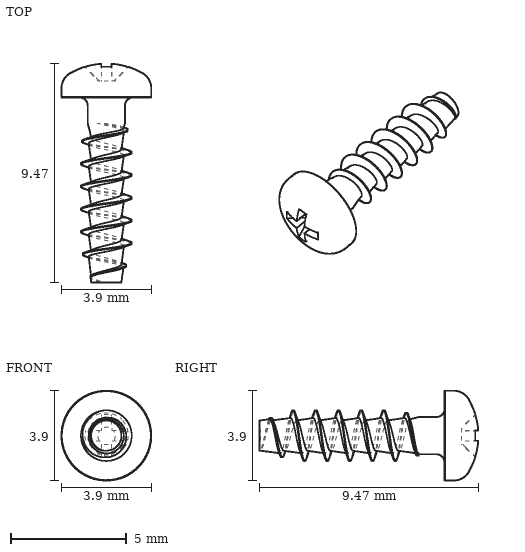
import cadquery as cq
import math


head_radius = 1.95
head_height = 1.47
band_height = 0.4
shoulder_radius = 1.5
shoulder_height = 1.1
band_chamfer = 0.03
dome_rise = 0.02

recess_radius = 1.06
recess_floor_radius = 0.38
recess_depth = 0.76
wing_inner_half_width = 0.23
wing_outer_half_width = 0.21

screw_length = 8.0
shank_radius = 0.81
neck_fillet = 0.33
shank_length = 1.1

crest_radius = 1.1
crest_half_width = 0.02
flank_angle = 17
root_radius_head_side = 0.77
root_radius_tip_side = 0.66
thread_turns = 9
thread_rise = 8.83
thread_pitch = thread_rise / thread_turns
thread_bottom = -8.26
points_per_turn = 24

run_in_radius = 0.86
run_in_length = 0.95
fade_length = 1.44
fade_radius = 0.625
runout_length = 0.61
least_ridge = 0.01
tip_radius = 0.65
tip_taper_length = 0.85
dish_radius = 0.6
dish_depth = 0.05


def head():
    """Domed head with a straight band above its bearing face."""
    dome_start = (shoulder_radius, shoulder_height)
    dome_top = head_height + dome_rise
    dome_drop = dome_top - shoulder_height
    dome_radius = (shoulder_radius**2 + dome_drop**2) / (2 * dome_drop)
    profile = (
        cq.Workplane("XZ")
        .moveTo(0, 0)
        .lineTo(head_radius - band_chamfer, 0)
        .lineTo(head_radius, band_chamfer)
        .lineTo(head_radius, band_height)
        .tangentArcPoint(dome_start, relative=False)
        .radiusArc((0, dome_top), -dome_radius)
        .close()
    )
    return profile.revolve(360, (0, 0), (0, 1))


def cross_recess():
    """Four tapered wings, kept inside a cone that narrows towards the floor."""
    corners = []
    for quarter in range(4):
        turn = math.radians(90 * quarter)
        for along, across in (
            (wing_inner_half_width, -wing_inner_half_width),
            (recess_radius, -wing_outer_half_width),
            (recess_radius, wing_outer_half_width),
        ):
            x = along * math.cos(turn) - across * math.sin(turn)
            y = along * math.sin(turn) + across * math.cos(turn)
            corners.append((x, y))
    top = head_height + dome_rise
    floor = top - recess_depth
    wings = cq.Workplane("XY", origin=(0, 0, floor)).polyline(corners).close().extrude(recess_depth)
    cone = cq.Solid.makeCone(recess_floor_radius, recess_radius, recess_depth, pnt=cq.Vector(0, 0, floor))
    return wings.intersect(cq.Workplane(cone))


def shank():
    """Plain shank with a fillet under the head and a cone that runs out into the thread root."""
    profile = (
        cq.Workplane("XZ")
        .moveTo(0, 0)
        .lineTo(shank_radius + neck_fillet, 0)
        .radiusArc((shank_radius, -neck_fillet), -neck_fillet)
        .lineTo(shank_radius, -shank_length)
        .lineTo(root_radius_tip_side, -shank_length - runout_length)
        .lineTo(0, -shank_length - runout_length)
        .close()
    )
    return profile.revolve(360, (0, 0), (0, 1))


def flank_offset(depth):
    """Half width of the thread ridge at a depth below its crest."""
    return crest_half_width + depth * math.tan(math.radians(flank_angle))


def crest_radius_at(height):
    """Crest radius, which shrinks towards the shank and towards the tip."""
    run_in_slope = (crest_radius - run_in_radius) / run_in_length
    fade_slope = (crest_radius - fade_radius) / fade_length
    run_in = run_in_radius + run_in_slope * (-shank_length - height)
    fade = fade_radius + fade_slope * (height + screw_length)
    return min(crest_radius, max(run_in, shank_radius), fade)


def root_radius_at(height, full_radius):
    """Root radius, held inside the tapered tip."""
    taper_slope = (root_radius_head_side - tip_radius) / tip_taper_length
    return min(full_radius, tip_radius + taper_slope * (height + screw_length))


def thread_section(height):
    """Corners (radius, height) of one ridge whose crest is at a height, from its upper to its lower root."""
    root_above = root_radius_at(height, root_radius_tip_side)
    root_below = root_radius_at(height, root_radius_head_side)
    crest = max(crest_radius_at(height), root_below + least_ridge)
    return [
        (root_above, height + flank_offset(crest - root_above)),
        (crest, height + crest_half_width),
        (crest, height - crest_half_width),
        (root_below, height - flank_offset(crest - root_below)),
    ]


def helix_edge(corner, turn):
    """Curve that one corner of the thread section follows through one turn."""
    points = []
    for step in range(points_per_turn + 1):
        fraction = step / points_per_turn
        angle = 2 * math.pi * fraction
        radius, height = thread_section(thread_bottom + (turn + fraction) * thread_pitch)[corner]
        points.append(cq.Vector(radius * math.cos(angle), radius * math.sin(angle), height))
    return cq.Edge.makeSpline(points, parameters=range(points_per_turn + 1))


def thread_end(edges, upper_helix, position):
    """Faces that close one end of the thread: a helicoid to the axis and a flat section face."""
    low = upper_helix.positionAt(0)
    high = upper_helix.positionAt(1)
    axis = cq.Edge.makeLine(cq.Vector(0, 0, low.z), cq.Vector(0, 0, high.z))
    corners = [edge.positionAt(position) for edge in edges]
    outline = [axis.positionAt(1), *corners, low, axis.positionAt(0)]
    flat = cq.Face.makeFromWires(cq.Wire.makePolygon(outline, close=True))
    return [cq.Face.makeRuledSurface(upper_helix, axis), flat]


def thread_body():
    """Right-hand thread with its core: the floor of each turn runs from one ridge to the next."""
    next_root = helix_edge(0, -1)
    faces = []
    for turn in range(thread_turns):
        edges = [helix_edge(corner, turn) for corner in range(4)]
        strip = [*edges, next_root]
        faces += [cq.Face.makeRuledSurface(upper, lower) for upper, lower in zip(strip, strip[1:])]
        if turn == 0:
            faces += thread_end(edges, next_root, 0)
        next_root = edges[0]
    faces += thread_end(edges, next_root, 1)
    return cq.Workplane(cq.Solid.makeSolid(cq.Shell.makeShell(faces)).fix())


def thread_zone():
    """Space between the shank and the tip face, which has a shallow conical dish."""
    zone_radius = crest_radius + 0.09
    profile = (
        cq.Workplane("XZ")
        .moveTo(0, -shank_length)
        .lineTo(zone_radius, -shank_length)
        .lineTo(zone_radius, -screw_length)
        .lineTo(dish_radius, -screw_length)
        .lineTo(0, -screw_length + dish_depth)
        .close()
    )
    return profile.revolve(360, (0, 0), (0, 1))


thread = thread_body().intersect(thread_zone())
screw = head().cut(cross_recess()).union(shank()).union(thread)
result = screw.rotate((0, 0, 0), (1, 0, 0), -90)